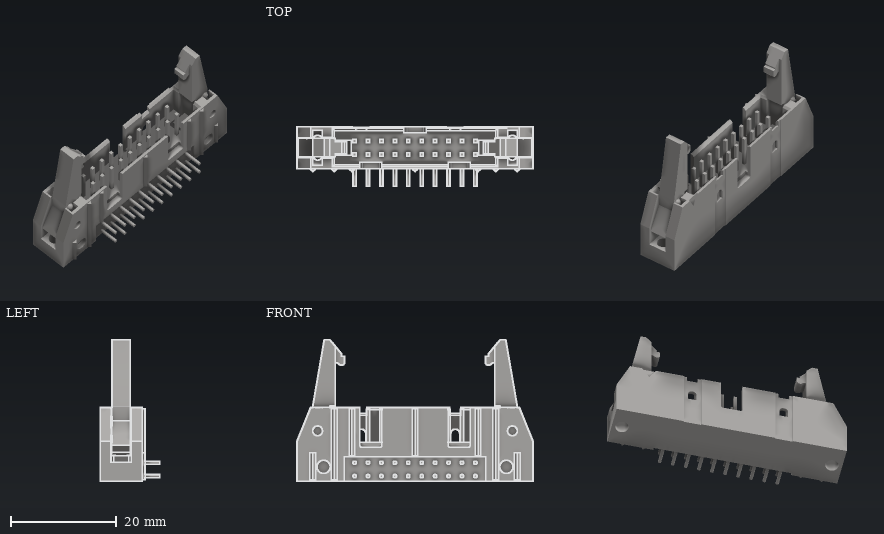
import cadquery as cq

LENGTH = 44.7
DEPTH = 8.0
HEIGHT = 14.0
HALF_LENGTH = LENGTH / 2
MID_Y = DEPTH / 2
TOP_HALF_LENGTH = 19.75
SHOULDER_Z = 7.6

CAVITY_LENGTH = 30.5
CAVITY_WIDTH = 6.45
CAVITY_FLOOR_Z = 7.4
LEAD_IN = 0.42

WINDOW_OFFSET = 8.35
WINDOW_WIDTH = 4.2
WINDOW_SILL_Z = 6.4
WINDOW_DEPTH = 1.2
WINDOW_RADIUS = 0.5
BACK_SLOT_PLACES = (-10.16, 7.62)
BACK_SLOT_WIDTH = 1.65
BACK_SLOT_TOP_Z = 9.85
BACK_NOTCH_WIDTH = 2.1
BACK_NOTCH_Z = 12.9
CHANNEL_WIDTH = 3.4
CHANNEL_DEPTH = 0.15
MARK_X = 16.05
MARK_WIDTH = 2.7
MARK_HEIGHT = 2.3
MARK_DEPTH = 0.3

PITCH = 2.54
COLUMNS = 10
ROWS = 2
PIN_SIZE = 0.64
PIN_TOP_Z = 13.65
TAIL_TIP_Y = -3.33
FIRST_ROW_Y = MID_Y - PITCH / 2
FIRST_TAIL_Z = 0.98

RECESS_LENGTH = 26.8
RECESS_HEIGHT = 4.6
RECESS_DEPTH = 0.45
RIB_HEIGHT = 0.55
RIB_LOW_Z = 0.25
RIB_HIGH_Z = HEIGHT - 0.25
MIDDLE_RIB_LOW_Z = 4.8
SHORT_RIB_HIGH_Z = 5.4
OUTER_RIB_X = 19.33
LONG_RIB_X = 15.3
INNER_RIB_X = 11.93
PEG_HOLE_X = 17.3
PEG_HOLE_Z = 2.73
PEG_HOLE_DIAMETER = 2.5
PIVOT_X = 18.43
PIVOT_Z = 9.55
PIVOT_DIAMETER = 1.85
HOLE_DEPTH = 1.05

SLOT_WIDTH = 3.8
SLOT_FLOOR_Z = 3.65
SLOT_INNER_X = CAVITY_LENGTH / 2
RELIEF_WIDTH = 4.05
RELIEF_OUTER_X = 17.6
RELIEF_INNER_X = 15.9
POCKET_OUTER_X = 19.4
POCKET_INNER_X = 17.6
POCKET_WIDTH = 6.7
POCKET_BOTTOM_Z = 10.0
FLOOR_HOLE_X = 20.4
FLOOR_HOLE_DIAMETER = 2.5
FOOT_SLOT_WIDTH = 2.9
FOOT_SLOT_END_X = 12.03
FOOT_SLOT_LOW_X = 14.0

LATCH_WIDTH = 3.5
HOOK_WIDTH = 2.3
LATCH_TOP_Z = 26.8
ARM_TOP_OUTER_X = 17.2
ARM_TOP_INNER_X = 16.1
ARM_INNER_X = 15.07
ARM_STEP_Z = HEIGHT + 0.25
SHANK_INNER_X = 16.1
SHANK_OUTER_X = 19.37
SHANK_LOW_Z = 11.5
HEEL_TIP_X = 22.06
HEEL_TIP_Z = 6.8
HEEL_MIDDLE_X = 20.5
HEEL_MIDDLE_Z = 5.5
HEEL_INNER_X = 18.5
HOOK_SLOPE_END_X = 13.85
HOOK_SLOPE_END_Z = 24.1
HOOK_SLOPE = (LATCH_TOP_Z - HOOK_SLOPE_END_Z) / (ARM_TOP_INNER_X - HOOK_SLOPE_END_X)
HOOK_SLOPE_Z = LATCH_TOP_Z - HOOK_SLOPE * (ARM_TOP_INNER_X - ARM_INNER_X)
HOOK_UNDERCUT = 0.1
HOOK_TIP_X = 13.3
HOOK_LIP_TOP_Z = 23.7
HOOK_LIP_BEND_Z = 22.5
HOOK_LOW_X = 13.9
HOOK_LOW_Z = 21.95
HOOK_LIP_INNER_X = 14.45
HOOK_LIP_INNER_Z = 22.25
HOOK_ROOT_X = 14.75
HOOK_ROOT_Z = 22.4
FOOT_BOTTOM_Z = 4.85
FOOT_BEND_X = 14.5
FOOT_TIP_X = 12.9
FOOT_TIP_LOW_Z = 6.6
BOSS_HEIGHT = 0.6
DETENT_Z = 13.1
DETENT_DIAMETER = 1.75


def box(x_range, y_range, z_range):
    """Axis-aligned block between pairs of limits."""
    sizes = [high - low for low, high in (x_range, y_range, z_range)]
    corner = (x_range[0], y_range[0], z_range[0])
    return cq.Workplane("XY").box(*sizes, centered=False).translate(corner)


def centred(middle, size):
    """Pair of limits for a size centred on a place."""
    return middle - size / 2, middle + size / 2


def plate(outline, width):
    """Extrude an XZ outline to a width centred on the housing depth."""
    return outline.extrude(width / 2, both=True).translate((0, MID_Y, 0))


def xz_polygon(points):
    return cq.Workplane("XZ").polyline(points).close()


def y_cylinder(x, z, diameter, y_range):
    length = y_range[1] - y_range[0]
    disc = cq.Workplane("XZ").center(x, z).circle(diameter / 2)
    return disc.extrude(-length).translate((0, y_range[0], 0))


def mirrored(shape):
    """The shape together with its mirror image at the other end."""
    return shape.union(shape.mirror("YZ"))


def make_shell():
    outline = xz_polygon([
        (-HALF_LENGTH, 0),
        (HALF_LENGTH, 0),
        (HALF_LENGTH, SHOULDER_Z),
        (TOP_HALF_LENGTH, HEIGHT),
        (-TOP_HALF_LENGTH, HEIGHT),
        (-HALF_LENGTH, SHOULDER_Z),
    ])
    return plate(outline, DEPTH)


def make_cavity():
    well = box(
        centred(0, CAVITY_LENGTH), centred(MID_Y, CAVITY_WIDTH), (CAVITY_FLOOR_Z, HEIGHT)
    )
    mouth = (
        cq.Workplane("XY", origin=(0, MID_Y, HEIGHT - LEAD_IN))
        .rect(CAVITY_LENGTH, CAVITY_WIDTH)
        .workplane(offset=LEAD_IN)
        .rect(CAVITY_LENGTH + 2 * LEAD_IN, CAVITY_WIDTH + 2 * LEAD_IN)
        .loft(ruled=True)
    )
    return well.union(mouth)


def make_window(x, y_range):
    """Open-topped gap in a long wall, rounded at its lower corners."""
    window = box(centred(x, WINDOW_WIDTH), y_range, (WINDOW_SILL_Z, HEIGHT))
    return window.faces("<Z").edges("|Y").fillet(WINDOW_RADIUS)


def make_front_windows():
    return mirrored(make_window(WINDOW_OFFSET, (0, WINDOW_DEPTH)))


def make_back_notch(x):
    """Notch in the top of the back wall, its sill sloping down into the cavity."""
    inner_y = MID_Y + CAVITY_WIDTH / 2
    section = cq.Workplane("YZ", origin=(x, 0, 0)).polyline([
        (DEPTH, HEIGHT),
        (DEPTH, BACK_NOTCH_Z),
        (inner_y + LEAD_IN, BACK_NOTCH_Z),
        (inner_y, BACK_NOTCH_Z - LEAD_IN),
        (inner_y, HEIGHT),
    ])
    return section.close().extrude(BACK_NOTCH_WIDTH / 2, both=True)


def make_back_openings():
    """Key gap, and two notched, slotted channels in the back wall."""
    wall = (MID_Y + CAVITY_WIDTH / 2, DEPTH)
    cuts = make_window(0, (DEPTH - WINDOW_DEPTH, DEPTH))
    slot_radius = BACK_SLOT_WIDTH / 2
    arch_z = BACK_SLOT_TOP_Z - slot_radius
    for x in BACK_SLOT_PLACES:
        slot = box(centred(x, BACK_SLOT_WIDTH), wall, (CAVITY_FLOOR_Z, arch_z))
        arch = y_cylinder(x, arch_z, BACK_SLOT_WIDTH, wall)
        channel = box(centred(x, CHANNEL_WIDTH), (DEPTH - CHANNEL_DEPTH, DEPTH), (0, HEIGHT))
        cuts = cuts.union(slot).union(arch).union(make_back_notch(x)).union(channel)
    return cuts


def make_pin_one_mark():
    triangle = xz_polygon([
        (MARK_X - MARK_WIDTH / 2, HEIGHT),
        (MARK_X + MARK_WIDTH / 2, HEIGHT),
        (MARK_X, HEIGHT - MARK_HEIGHT),
    ])
    return triangle.extrude(-MARK_DEPTH).translate((0, DEPTH - MARK_DEPTH, 0))


def make_front_cuts():
    recess = box(centred(0, RECESS_LENGTH), (0, RECESS_DEPTH), (0, RECESS_HEIGHT))
    peg_hole = y_cylinder(PEG_HOLE_X, PEG_HOLE_Z, PEG_HOLE_DIAMETER, (0, HOLE_DEPTH))
    pivot_hole = y_cylinder(PIVOT_X, PIVOT_Z, PIVOT_DIAMETER, (0, HOLE_DEPTH))
    return recess.union(mirrored(peg_hole)).union(mirrored(pivot_hole))


def make_rib(x, low_z, high_z):
    """Upright crush rib of triangular section on the front face."""
    section = cq.Workplane("XY", origin=(x, 0, low_z)).polyline([
        (-RIB_HEIGHT, 0),
        (0, -RIB_HEIGHT),
        (RIB_HEIGHT, 0),
    ])
    return section.close().extrude(high_z - low_z)


def make_ribs():
    ribs = make_rib(0, MIDDLE_RIB_LOW_Z, RIB_HIGH_Z)
    for side in (-1, 1):
        ribs = ribs.union(make_rib(side * OUTER_RIB_X, RIB_LOW_Z, SHORT_RIB_HIGH_Z))
        ribs = ribs.union(make_rib(side * LONG_RIB_X, RIB_LOW_Z, RIB_HIGH_Z))
        ribs = ribs.union(make_rib(side * INNER_RIB_X, MIDDLE_RIB_LOW_Z, RIB_HIGH_Z))
    return ribs


def make_latch_slot():
    """Room for one latch at the -X end, with the flared mouth for its bosses."""
    slot = box(
        (-HALF_LENGTH, -SLOT_INNER_X), centred(MID_Y, SLOT_WIDTH), (SLOT_FLOOR_Z, HEIGHT)
    )
    relief = box(
        (-RELIEF_OUTER_X, -RELIEF_INNER_X), centred(MID_Y, RELIEF_WIDTH), (SLOT_FLOOR_Z, HEIGHT)
    )
    pocket = (
        cq.Workplane("YZ", origin=(-POCKET_OUTER_X, MID_Y, 0))
        .polyline([
            (-POCKET_WIDTH / 2, HEIGHT),
            (-SLOT_WIDTH / 2, POCKET_BOTTOM_Z),
            (SLOT_WIDTH / 2, POCKET_BOTTOM_Z),
            (POCKET_WIDTH / 2, HEIGHT),
        ])
        .close()
        .extrude(POCKET_OUTER_X - POCKET_INNER_X)
    )
    foot_outline = xz_polygon([
        (-SLOT_INNER_X, SLOT_FLOOR_Z),
        (-FOOT_SLOT_LOW_X, SLOT_FLOOR_Z),
        (-FOOT_SLOT_END_X, CAVITY_FLOOR_Z),
        (-SLOT_INNER_X, CAVITY_FLOOR_Z),
    ])
    floor_hole = (
        cq.Workplane("XY")
        .center(-FLOOR_HOLE_X, MID_Y)
        .circle(FLOOR_HOLE_DIAMETER / 2)
        .extrude(SLOT_FLOOR_Z)
    )
    foot_slot = plate(foot_outline, FOOT_SLOT_WIDTH)
    return slot.union(relief).union(pocket).union(floor_hole).union(foot_slot)


def make_arm():
    """Lever of the latch, from its flat top down to the faceted heel in the slot."""
    outline = xz_polygon([
        (-ARM_TOP_OUTER_X, LATCH_TOP_Z),
        (-ARM_TOP_INNER_X, LATCH_TOP_Z),
        (-ARM_INNER_X, HOOK_SLOPE_Z),
        (-ARM_INNER_X, ARM_STEP_Z),
        (-SHANK_INNER_X, ARM_STEP_Z),
        (-SHANK_INNER_X, FOOT_BOTTOM_Z),
        (-HEEL_INNER_X, FOOT_BOTTOM_Z),
        (-HEEL_MIDDLE_X, HEEL_MIDDLE_Z),
        (-HEEL_TIP_X, HEEL_TIP_Z),
        (-SHANK_OUTER_X, SHANK_LOW_Z),
        (-SHANK_OUTER_X, ARM_STEP_Z),
    ])
    return plate(outline, LATCH_WIDTH)


def make_hook():
    """Narrow hook that continues the slope of the arm top and ends in a rounded lip."""
    outline = (
        cq.Workplane("XZ")
        .moveTo(-ARM_INNER_X, HOOK_ROOT_Z)
        .lineTo(-ARM_INNER_X, HOOK_SLOPE_Z)
        .lineTo(-HOOK_SLOPE_END_X, HOOK_SLOPE_END_Z)
        .lineTo(-HOOK_SLOPE_END_X - HOOK_UNDERCUT, HOOK_LIP_TOP_Z)
        .lineTo(-HOOK_TIP_X, HOOK_LIP_TOP_Z)
        .lineTo(-HOOK_TIP_X, HOOK_LIP_BEND_Z)
        .threePointArc((-HOOK_LOW_X, HOOK_LOW_Z), (-HOOK_LIP_INNER_X, HOOK_LIP_INNER_Z))
        .lineTo(-HOOK_ROOT_X, HOOK_ROOT_Z)
        .close()
    )
    return plate(outline, HOOK_WIDTH)


def make_foot():
    """Foot that lies in the cavity floor under the mating plug."""
    outline = xz_polygon([
        (-SHANK_INNER_X, FOOT_BOTTOM_Z),
        (-FOOT_BEND_X, FOOT_BOTTOM_Z),
        (-FOOT_TIP_X, FOOT_TIP_LOW_Z),
        (-FOOT_TIP_X, CAVITY_FLOOR_Z),
        (-SHANK_INNER_X, CAVITY_FLOOR_Z),
    ])
    return plate(outline, HOOK_WIDTH)


def make_detents():
    """Shallow round domes on both flanks of the arm, just below the housing top."""
    base_radius = DETENT_DIAMETER / 2
    sphere_radius = (base_radius**2 + BOSS_HEIGHT**2) / (2 * BOSS_HEIGHT)
    offset = LATCH_WIDTH / 2 + BOSS_HEIGHT - sphere_radius
    ball = cq.Workplane("XY").sphere(sphere_radius)
    front = ball.translate((-PIVOT_X, MID_Y - offset, DETENT_Z))
    back = ball.translate((-PIVOT_X, MID_Y + offset, DETENT_Z))
    return front.union(back)


def make_latch():
    """Ejector latch at the -X end, joined to the housing by its pivot bosses."""
    pivot_range = centred(MID_Y, LATCH_WIDTH + 2 * BOSS_HEIGHT)
    pivot = y_cylinder(-PIVOT_X, PIVOT_Z, PIVOT_DIAMETER, pivot_range)
    return make_arm().union(make_hook()).union(make_foot()).union(pivot).union(make_detents())


def make_pin(x, row):
    """Right-angle pin: square post in the cavity, round tail out of the front."""
    y = FIRST_ROW_Y + row * PITCH
    tail_z = FIRST_TAIL_Z + row * PITCH
    post = box(centred(x, PIN_SIZE), centred(y, PIN_SIZE), (tail_z, PIN_TOP_Z))
    tail = y_cylinder(x, tail_z, PIN_SIZE, (TAIL_TIP_Y, y))
    return post.union(tail)


result = make_shell()
result = result.cut(make_cavity()).cut(make_front_windows()).cut(make_back_openings())
result = result.cut(make_pin_one_mark()).cut(make_front_cuts())
result = result.cut(mirrored(make_latch_slot()))
result = result.union(make_ribs())
result = result.union(mirrored(make_latch()))
for column in range(COLUMNS):
    column_x = (column - (COLUMNS - 1) / 2) * PITCH
    for row in range(ROWS):
        result = result.union(make_pin(column_x, row))